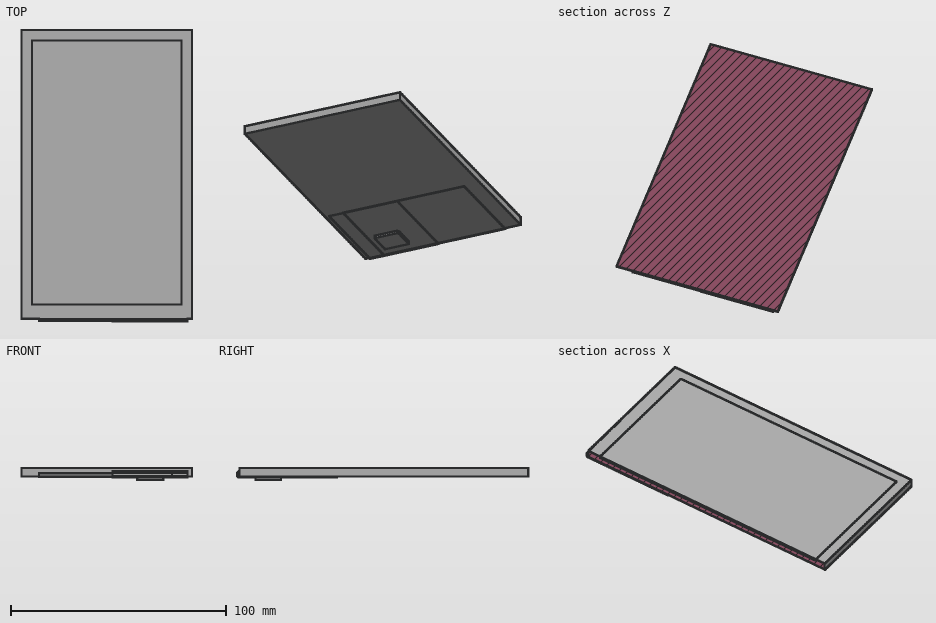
import cadquery as cq
import math

TOTAL_LENGTH = 135.1
TOTAL_HEIGHT = 5.7

DISPLAY_FLEX_THICKNESS = 0.2
TOUCH_FLEX_THICKNESS = 0.11
FOLD_REACH = 1.1
FLEX_TAIL = 45.3

PANEL_WIDTH = 79.2
PANEL_LENGTH = TOTAL_LENGTH - FOLD_REACH
PANEL_THICKNESS = 4.0

SCREEN_BORDER = 5.0
SCREEN_FRONT_BORDER = 6.8
SCREEN_DEPTH = 0.7

DISPLAY_FLEX_LEFT = 8.1
DISPLAY_FLEX_RIGHT = 69.9
DISPLAY_FOLD_RADIUS = FOLD_REACH - TOUCH_FLEX_THICKNESS
DISPLAY_FLEX_BOTTOM = -PANEL_THICKNESS - DISPLAY_FLEX_THICKNESS
FOLD_CENTER_Z = DISPLAY_FLEX_BOTTOM + DISPLAY_FOLD_RADIUS

TOUCH_FLEX_LEFT = 42.2
TOUCH_FLEX_RIGHT = 77.0
TOUCH_FLEX_BOTTOM = DISPLAY_FLEX_BOTTOM - TOUCH_FLEX_THICKNESS
TOUCH_START_Z = -1.4
TOUCH_SHOULDER_Z = -2.3

CHIP_LEFT = 53.6
CHIP_WIDTH = 12.2
CHIP_FRONT = 7.4
CHIP_LENGTH = 11.9
CHIP_CORNER_WIDTH = 0.5
CHIP_CORNER_LENGTH = 1.0


def box(left, front, bottom, width, length, height):
    """A box placed by its left, front, bottom corner."""
    return cq.Workplane("XY").box(width, length, height, centered=False).translate((left, front, bottom))


def make_screen():
    return box(
        SCREEN_BORDER,
        SCREEN_FRONT_BORDER,
        -SCREEN_DEPTH,
        PANEL_WIDTH - 2 * SCREEN_BORDER,
        PANEL_LENGTH - SCREEN_FRONT_BORDER - SCREEN_BORDER,
        SCREEN_DEPTH,
    )


def make_panel(screen):
    """The panel, with a recess that fits the screen."""
    blank = box(0, 0, -PANEL_THICKNESS, PANEL_WIDTH, PANEL_LENGTH, PANEL_THICKNESS)
    return blank.cut(screen)


def make_display_flex():
    """A strip from the panel's front face, around a half circle and back under the panel."""
    inner_radius = DISPLAY_FOLD_RADIUS - DISPLAY_FLEX_THICKNESS
    return (
        cq.Workplane("YZ", origin=(DISPLAY_FLEX_LEFT, 0, 0))
        .moveTo(0, FOLD_CENTER_Z + DISPLAY_FOLD_RADIUS)
        .threePointArc((-DISPLAY_FOLD_RADIUS, FOLD_CENTER_Z), (0, DISPLAY_FLEX_BOTTOM))
        .lineTo(FLEX_TAIL, DISPLAY_FLEX_BOTTOM)
        .lineTo(FLEX_TAIL, -PANEL_THICKNESS)
        .lineTo(0, -PANEL_THICKNESS)
        .threePointArc((-inner_radius, FOLD_CENTER_Z), (0, FOLD_CENTER_Z + inner_radius))
        .close()
        .extrude(DISPLAY_FLEX_RIGHT - DISPLAY_FLEX_LEFT)
    )


def touch_fold_points(reach, start_z, slope):
    """One face of the touch flex, from the panel down to the start of the flat tail.

    Its lower bevel lies at 45 degrees, tangent to a circle of radius `reach` about
    the center of the display flex's fold.
    """
    bevel_offset = reach * math.tan(math.radians(22.5))
    return [
        (0, start_z),
        (-reach, start_z - slope * reach),
        (-reach, FOLD_CENTER_Z - bevel_offset),
        (-bevel_offset, FOLD_CENTER_Z - reach),
    ]


def make_touch_flex():
    """A faceted strip that wraps outside the display flex, with its tail below it."""
    slope = (TOUCH_START_Z - TOUCH_SHOULDER_Z) / FOLD_REACH
    inner_start_z = TOUCH_START_Z - TOUCH_FLEX_THICKNESS * math.hypot(1, slope)
    outer = touch_fold_points(FOLD_REACH, TOUCH_START_Z, slope)
    inner = touch_fold_points(DISPLAY_FOLD_RADIUS, inner_start_z, slope)
    tail_end = [(FLEX_TAIL, TOUCH_FLEX_BOTTOM), (FLEX_TAIL, DISPLAY_FLEX_BOTTOM)]
    return (
        cq.Workplane("YZ", origin=(TOUCH_FLEX_LEFT, 0, 0))
        .polyline(outer + tail_end + inner[::-1])
        .close()
        .extrude(TOUCH_FLEX_RIGHT - TOUCH_FLEX_LEFT)
    )


def make_chip():
    height = TOTAL_HEIGHT + TOUCH_FLEX_BOTTOM
    chip = box(CHIP_LEFT, CHIP_FRONT, -TOTAL_HEIGHT, CHIP_WIDTH, CHIP_LENGTH, height)
    corner = (
        cq.Workplane("XY", origin=(CHIP_LEFT, CHIP_FRONT + CHIP_LENGTH, -TOTAL_HEIGHT))
        .polyline([(0, 0), (CHIP_CORNER_WIDTH, 0), (0, -CHIP_CORNER_LENGTH)])
        .close()
        .extrude(height)
    )
    return chip.cut(corner)


screen = make_screen()
display_flex = make_display_flex()
panel = make_panel(screen)
touch_flex = make_touch_flex()
chip = make_chip()

result = cq.Compound.makeCompound(
    [panel.val(), screen.val(), display_flex.val(), touch_flex.val(), chip.val()]
)